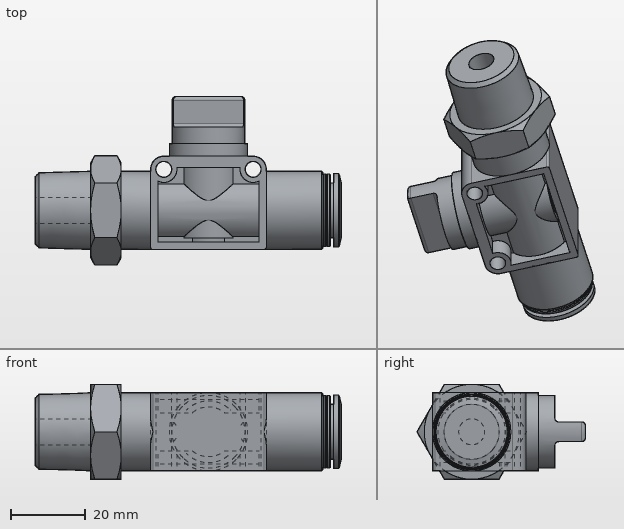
import cadquery as cq
import math


length = 82
nut_start = 14.85
nut_width = 8.2
body_end = 77.1
body_dia = 21.0
body_end_chamfer = 0.3

thread_tip_dia = 20.2
thread_chamfer = 1.1
bore_dia = 7.0
bore_depth = nut_start

nut_flats = 25.4
nut_chamfer_angle = 30

neck_dia = 14.8
ring_dia = 19.5
ring_pitch = 1.0
ring_count = 2
ring_chamfer = 0.25
flange_dia = 19.8
flange_start = 79.95
flange_rim_end = 81.2
flange_bevel_end = 81.5
flange_bevel_dia = 19.0

housing_center = 46.4
housing_width = 31.0
housing_top = 14.5
housing_bottom = -body_dia / 2
housing_height = body_dia
bottom_corner_radius = 0.65
lug_radius = 3.5
lug_hole_dia = 4.2
lug_spacing = housing_width - 2 * lug_radius
side_wall = 2.0
top_wall = 3.0
bottom_wall = 2.0
web_half_thickness = 5.1
tube_dia = 17.4
stem_dia = 16.6
stem_bottom = -7.5
stem_foot_dia = 13.4

collar_dia = 21.0
collar_top = 17.9
knob_dia = 19.5
knob_top = 22.3
blade_top = 30.5
blade_thickness = 5.3
blade_root_fillet = 1.0
blade_tip_fillet = 1.1


def x_cylinder(dia, start, end):
    return cq.Workplane("YZ", origin=(start, 0, 0)).circle(dia / 2).extrude(end - start)


def y_cylinder(dia, start, end):
    return cq.Workplane("XZ", origin=(housing_center, start, 0)).circle(dia / 2).extrude(start - end)


def revolve_about_x(points):
    return cq.Workplane("XY").polyline(points).close().revolve(360, (0, 0, 0), (1, 0, 0))


def make_thread():
    tip_radius = thread_tip_dia / 2
    return revolve_about_x([
        (0, 0),
        (0, tip_radius - thread_chamfer),
        (thread_chamfer, tip_radius),
        (nut_start, body_dia / 2),
        (nut_start, 0),
    ])


def make_nut():
    corner_dia = nut_flats / math.cos(math.pi / 6)
    hexagon = (
        cq.Workplane("YZ", origin=(nut_start, 0, 0))
        .polygon(6, corner_dia)
        .extrude(nut_width)
    )
    rise = (corner_dia - nut_flats) / 2
    run = rise * math.tan(math.radians(nut_chamfer_angle))
    nut_end = nut_start + nut_width
    envelope = revolve_about_x([
        (nut_start, 0),
        (nut_start, nut_flats / 2),
        (nut_start + run, corner_dia / 2),
        (nut_end - run, corner_dia / 2),
        (nut_end, nut_flats / 2),
        (nut_end, 0),
    ])
    return hexagon.intersect(envelope)


def make_body_tube():
    tube = x_cylinder(body_dia, nut_start, body_end)
    return tube.faces(">X").edges().chamfer(body_end_chamfer)


def make_sleeve():
    sleeve = x_cylinder(neck_dia, body_end, flange_start)
    for i in range(ring_count):
        start = body_end + i * ring_pitch
        ring = x_cylinder(ring_dia, start, start + ring_pitch).edges().chamfer(ring_chamfer)
        sleeve = sleeve.union(ring)
    flange = revolve_about_x([
        (flange_start, 0),
        (flange_start, flange_dia / 2),
        (flange_rim_end, flange_dia / 2),
        (flange_bevel_end, flange_bevel_dia / 2),
        (length, neck_dia / 2),
        (length, 0),
    ])
    return sleeve.union(flange)


def housing_prism(width, bottom, top, z_start, z_end):
    return (
        cq.Workplane("XY", origin=(housing_center, (bottom + top) / 2, z_start))
        .rect(width, top - bottom)
        .extrude(z_end - z_start)
    )


def lug_prism(dia):
    lug_y = housing_top - lug_radius
    return (
        cq.Workplane("XY", origin=(housing_center, lug_y, -housing_height / 2))
        .pushPoints([(-lug_spacing / 2, 0), (lug_spacing / 2, 0)])
        .circle(dia / 2)
        .extrude(housing_height)
    )


def make_housing_block():
    half = housing_height / 2
    block = housing_prism(housing_width, housing_bottom, housing_top, -half, half)
    block = block.edges("|Z and >Y").fillet(lug_radius)
    return block.edges("|Z and <Y").fillet(bottom_corner_radius)


def make_pockets():
    half = housing_height / 2
    pocket_width = housing_width - 2 * side_wall
    pocket_bottom = housing_bottom + bottom_wall
    pocket_top = housing_top - top_wall
    upper = housing_prism(pocket_width, pocket_bottom, pocket_top, web_half_thickness, half)
    lower = housing_prism(pocket_width, pocket_bottom, pocket_top, -half, -web_half_thickness)
    land_bottom = housing_top - lug_radius
    land_offset = (housing_width - lug_radius) / 2
    pockets = upper.union(lower)
    for side in (-1, 1):
        land = housing_prism(lug_radius, land_bottom, housing_top, -half, half)
        pockets = pockets.cut(land.translate((side * land_offset, 0, 0)))
    return (
        pockets
        .cut(lug_prism(2 * lug_radius))
        .cut(x_cylinder(tube_dia, nut_start, body_end))
        .cut(y_cylinder(stem_dia, stem_bottom, housing_top))
        .cut(y_cylinder(stem_foot_dia, housing_bottom, stem_bottom))
    )


def make_handle():
    collar = y_cylinder(collar_dia, 0, collar_top)
    knob = y_cylinder(knob_dia, 0, blade_top)
    relief_depth = knob_dia / 2
    for side in (-1, 1):
        relief = (
            cq.Workplane("XY")
            .box(2 * knob_dia, blade_top - knob_top, relief_depth, centered=(True, False, False))
            .edges("|X and <Y and <Z").fillet(blade_root_fillet)
            .translate((housing_center, knob_top, blade_thickness / 2))
        )
        if side < 0:
            relief = relief.mirror("XY")
        knob = knob.cut(relief)
    knob = knob.faces(">Y").edges().fillet(blade_tip_fillet)
    return collar.union(knob)


flow_body = make_thread().union(make_nut()).union(make_body_tube()).union(make_sleeve())
valve = flow_body.union(make_housing_block()).union(make_handle())
valve = valve.cut(make_pockets()).cut(lug_prism(lug_hole_dia))
result = valve.cut(x_cylinder(bore_dia, 0, bore_depth))